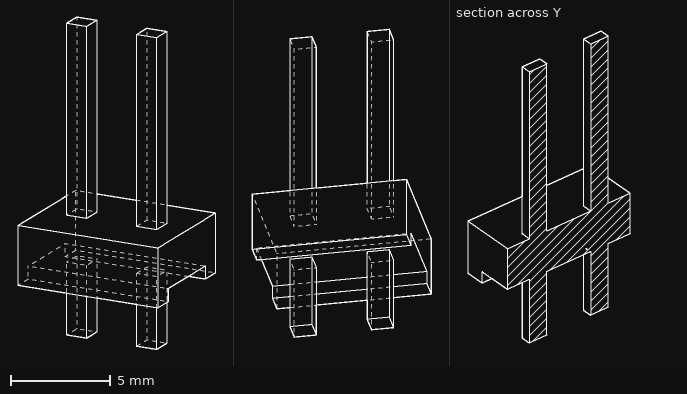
import cadquery as cq

pin_count = 2
pin_pitch = 3.96
pin_width = 1.14
pin_length_above = 10.16
pin_length_below = 3.175

base_length = pin_count * pin_pitch
base_width = 6.35
base_height = 3.175

foot_width = 1.14
foot_height = 0.69
channel_width = base_width - 2 * foot_width


def make_base():
    """Block with a channel along X underneath, leaving a foot along each side."""
    block = cq.Workplane("XY").box(base_length, base_width, base_height, centered=(True, True, False))
    channel = cq.Workplane("XY").box(base_length, channel_width, foot_height, centered=(True, True, False))
    return block.cut(channel)


def make_pin(x):
    """Square pin running through the base at the given X."""
    pin_length = pin_length_below + base_height + pin_length_above
    return (
        cq.Workplane("XY")
        .box(pin_width, pin_width, pin_length, centered=(True, True, False))
        .translate((x, 0, -pin_length_below))
    )


result = make_base()
first_pin_x = -(pin_count - 1) * pin_pitch / 2
for index in range(pin_count):
    result = result.union(make_pin(first_pin_x + index * pin_pitch))